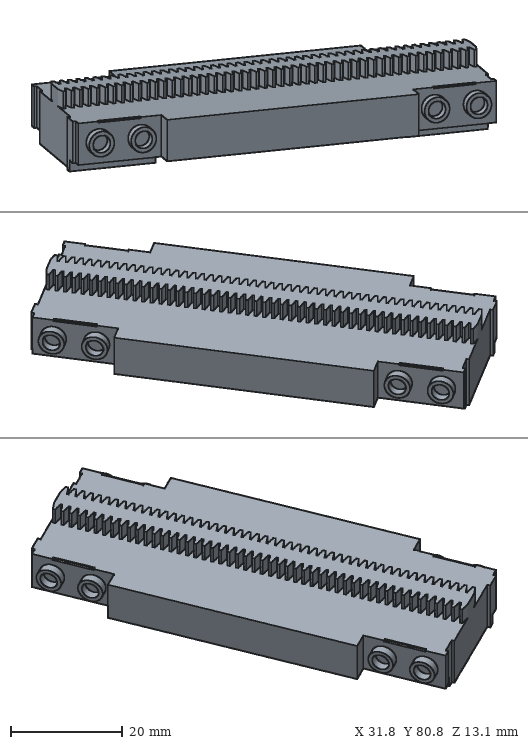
import cadquery as cq

length = 79.7
wing_width = 31.8
wing_length = 48.0
waist_width = 25.5
body_height = 7.8

foot_width = 19.15
foot_height = 2.1
foot_length = (length - wing_length) / 2
full_height = body_height + foot_height

tooth_count = 50
tooth_root_flat = 0.3
tooth_pitch = (length + tooth_root_flat) / tooth_count
tooth_tip_flat = 0.5
rack_height = 3.2
rack_core_width = 3.15
rack_tip_width = 6.55

overall_length = 80.8
key_width = 3.0
key_offset = 9.85
key_depth = (overall_length - length) / 2
socket_depth = 0.5

stud_diameter = 4.8
stud_bore = 3.2
stud_height = 1.7
stud_drop = 3.8
stud_pitch = 8.0
stud_first = 27.95

rebate_width = 0.5
rebate_depth = 0.25


def box(size_x, size_y, size_z, x, y, top):
    """Box centred on (x, y) and hanging down from the height 'top'."""
    shape = cq.Workplane("XY").box(size_x, size_y, size_z, centered=(True, True, False))
    return shape.translate((x, y, top - size_z))


def block():
    """Long body with side wings along its middle and a foot under each end."""
    body = box(waist_width, length, body_height, 0, 0, 0)
    body = body.union(box(wing_width, wing_length, body_height, 0, 0, 0))
    foot_y = (length - foot_length) / 2
    for end in (-1, 1):
        body = body.union(box(foot_width, foot_length, foot_height, 0, end * foot_y, -body_height))
    return body


def add_keys_and_sockets(body):
    """Give each end one key and one socket, on opposite sides at the two ends."""
    foot_key_width = foot_width / 2 - (key_offset - key_width / 2)
    foot_key_offset = (foot_width - foot_key_width) / 2
    for end in (-1, 1):
        key_side = -end
        key_y = end * (length + key_depth) / 2
        socket_y = end * (length - socket_depth) / 2
        key = box(key_width, key_depth, body_height, key_side * key_offset, key_y, 0)
        foot_key_x = key_side * foot_key_offset
        foot_key = box(foot_key_width, key_depth, foot_height, foot_key_x, key_y, -body_height)
        socket = box(key_width, socket_depth, full_height, -key_side * key_offset, socket_y, 0)
        body = body.union(key).union(foot_key).cut(socket)
    return body


def rack():
    """Straight bar with tapered teeth on both sides, ending flush with the block ends."""
    root_x = rack_core_width / 2
    tip_x = rack_tip_width / 2
    half_root = (tooth_pitch - tooth_root_flat) / 2
    half_tip = tooth_tip_flat / 2
    right_side = []
    for index in range(tooth_count):
        middle_y = (index - (tooth_count - 1) / 2) * tooth_pitch
        right_side += [
            (root_x, middle_y - half_root),
            (tip_x, middle_y - half_tip),
            (tip_x, middle_y + half_tip),
            (root_x, middle_y + half_root),
        ]
    left_side = [(-x, y) for x, y in reversed(right_side)]
    return cq.Workplane("XY").polyline(right_side + left_side).close().extrude(rack_height)


def add_studs(body):
    """Add two hollow studs at each corner of the waist, pointing outwards along X."""
    ring = cq.Workplane("YZ").circle(stud_diameter / 2).circle(stud_bore / 2).extrude(stud_height)
    for end in (-1, 1):
        for distance in (stud_first, stud_first + stud_pitch):
            stud = ring.translate((waist_width / 2, end * distance, -stud_drop))
            body = body.union(stud).union(stud.mirror("YZ"))
    return body


def cut_rebates(body):
    """Nick the waist's top edges between the centres of each pair of studs."""
    rebate_x = (waist_width - rebate_width) / 2
    rebate_y = stud_first + stud_pitch / 2
    for side in (-1, 1):
        for end in (-1, 1):
            rebate = box(rebate_width, stud_pitch, rebate_depth, side * rebate_x, end * rebate_y, 0)
            body = body.cut(rebate)
    return body


result = add_keys_and_sockets(block())
result = add_studs(result)
result = cut_rebates(result)
result = result.union(rack())